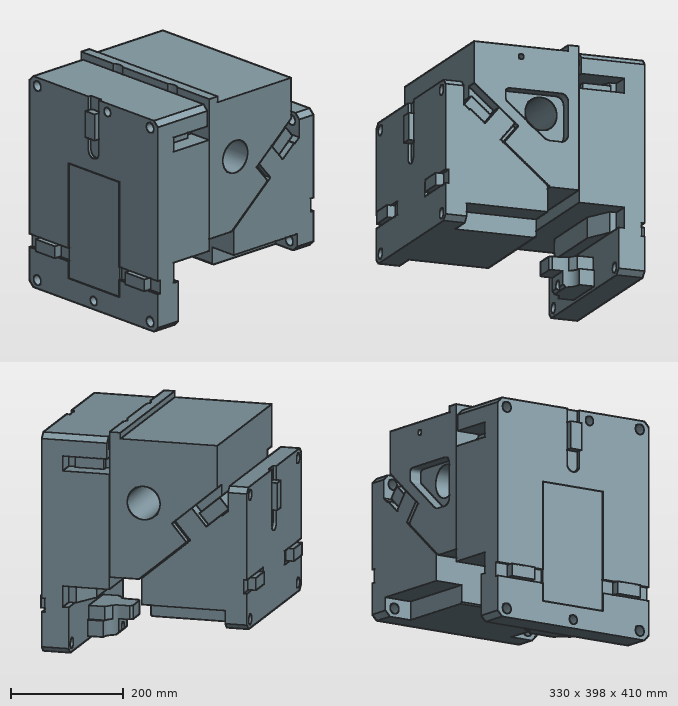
import cadquery as cq
import math

WIDTH = 330.0
HALF_WIDTH = WIDTH / 2
HEIGHT = 410.0
KEY_PROTRUSION = 9.0
REAR_FACE_Y = 380.0
CORNER_CHAMFER = 10.0

FRONT_TOP = 399.0
PLATE_DEPTH = 50.0
LIP_DEPTH = 121.0
BLOCK_DEPTH = 125.0
BLOCK_BOTTOM = 123.0
SLOT_BOTTOM = 333.0
SLOT_TOP = 360.0
RECESS_Y = 39.0
RECESS_BOTTOM = 85.0
CORE_SHOULDER_Y = 52.0
CORE_END_Y = 75.0
CORE_HALF_WIDTH = 127.0
CORE_END_HALF_WIDTH = 78.0
PANEL_HALF_WIDTH = 65.0
PANEL_BOTTOM = 41.0
PANEL_TOP = 258.5
PANEL_DEPTH = 2.0

LUG_TOP = 60.5
LUG_STEP = 35.5
LUG_BOTTOM = 6.0
LUG_HALF_WIDTH = 43.5
LUG_BASE_Y = 80.0
LUG_SLOPE_Y = 90.0
LUG_FLANK = 25.0
LUG_FLANK_Y = 103.5
LUG_HOLLOW_RADIUS = 24.5
LUG_TIP_CHAMFER = 5.0
PILLAR_END_Y = 100.0
PILLAR_CHAMFER = 5.0

BOLT_DIAMETER = 19.0
BOLT_X = 145.0
BOLT_INSET_Z = 16.0
CENTRE_BOLT_DIAMETER = 17.0
TOP_CENTRE_BOLT_X = 35.3

KEYWAY_DEPTH = 6.0
KEY_LENGTH = 49.5
SIDE_KEY_X = 115.2
SIDE_KEY_HEIGHT = 22.5
SIDE_KEYWAY_HEIGHT = 25.0
FRONT_SIDE_KEY_Z = 85.5
REAR_SIDE_KEY_Z = 145.5
TOP_KEY_WIDTH = 23.5
TOP_KEYWAY_WIDTH = 27.0
TOP_KEY_DROP = 49.5
TOP_KEYWAY_LENGTH = 114.0

MIDDLE_FRONT_Y = 126.0
MIDDLE_BACK_Y = 325.5
MIDDLE_BOTTOM = 145.5
STEP_BACK_Y = 146.0
TONGUE_TOP = 353.0
TONGUE_NECK_Y = 105.0
TONGUE_NECK_HALF_WIDTH = 119.7
TONGUE_HEAD_HALF_WIDTH = 132.0
BORE_X = 70.0
BORE_Y = 109.0
BORE_RADIUS = 21.0
BORE_FLOOR = 340.5
HOLE_Y = 189.0
HOLE_Z = 285.0
HOLE_DIAMETER = 60.5
PIN_HOLE_Y = 235.8
PIN_HOLE_Z = 379.5
PIN_HOLE_DIAMETER = 10.0
PIN_HOLE_DEPTH = 20.5
POCKET_DEPTH = 23.0
POCKET_FRONT_Y = 146.0
POCKET_BACK_Y = 265.3
POCKET_TOP = 320.0
POCKET_BOTTOM = 231.0
POCKET_CORNER_Y = 187.0
POCKET_CORNER_Z = 297.0
POCKET_FRONT_RADIUS = 14.8
POCKET_SLOPE_RADIUS = 19.5
POCKET_BACK_RADIUS = 8.0

SLOPE = math.radians(40)
RIDGE_Y = 278.0
RIDGE_Z = 282.0
RIDGE_LENGTH = 40.0
GROOVE_LENGTH = 48.0
GROOVE_DEPTH = 43.0
MIDDLE_HOOK_DEPTH = 42.0
REAR_SLOT_DEPTH = 42.0
NECK_DEPTH = 15.5
REAR_TONGUE_LENGTH = 48.8
REAR_NECK_HALF_WIDTH = 139.0
REAR_HEAD_HALF_WIDTH = 151.0
RELIEF_START = 37.0
RELIEF_DEPTH = 2.0

REAR_TOP = 324.7
REAR_BOTTOM = 66.0
REAR_LIP_Y = 345.2
REAR_FRONT_Y = 185.5
REAR_EDGE_CHAMFER = 3.0
REAR_FOOT_Y = 340.0
SIDE_CUT_TOP = 99.5
SIDE_CUT_DEPTH = 55.0


def box(x0, x1, y0, y1, z0, z1):
    return cq.Workplane("XY").box(x1 - x0, y1 - y0, z1 - z0, centered=False).translate((x0, y0, z0))


def across(points, half_width):
    """A (y, z) outline extruded to both sides of the centre plane."""
    return cq.Workplane("YZ").polyline(points).close().extrude(half_width, both=True)


def bore_y(x, z, diameter, y0, y1):
    return cq.Workplane("XZ", origin=(x, y0, z)).circle(diameter / 2).extrude(y0 - y1)


def on_slope(along, out):
    """(y, z) of a point measured down the slope and outwards from the ridge corner."""
    y = RIDGE_Y - along * math.cos(SLOPE) - out * math.sin(SLOPE)
    z = RIDGE_Z - along * math.sin(SLOPE) + out * math.cos(SLOPE)
    return y, z


def slope_at_y(y, out):
    """Point with the given y on the line parallel to the slope."""
    along = (RIDGE_Y - y - out * math.sin(SLOPE)) / math.cos(SLOPE)
    return on_slope(along, out)


def slope_at_z(z, out):
    """Point with the given z on the line parallel to the slope."""
    along = (RIDGE_Z - z + out * math.cos(SLOPE)) / math.sin(SLOPE)
    return on_slope(along, out)


def chamfer_corners(body, bottom, top):
    """Trim the four outer corners seen along Y."""
    envelope = box(-HALF_WIDTH, HALF_WIDTH, 0, REAR_FACE_Y, bottom, top)
    return body.intersect(envelope.edges("|Y").chamfer(CORNER_CHAMFER))


def add_keys(body, face_y, inward, top, side_key_z):
    """Cut the keyways into an outer face and seat the three keys; inward is +1 or -1 along Y."""
    bottom_y = face_y + inward * KEYWAY_DEPTH
    outer_y = face_y - inward * KEY_PROTRUSION
    cut_y = sorted((face_y, bottom_y))
    key_y = sorted((outer_y, bottom_y))

    half = SIDE_KEYWAY_HEIGHT / 2
    half_key = SIDE_KEY_HEIGHT / 2
    for side in (-1, 1):
        way_x = sorted((side * PANEL_HALF_WIDTH, side * HALF_WIDTH))
        key_x = side * SIDE_KEY_X
        body = body.cut(box(*way_x, *cut_y, side_key_z - half, side_key_z + half))
        body = body.union(box(key_x - KEY_LENGTH / 2, key_x + KEY_LENGTH / 2, *key_y,
                              side_key_z - half_key, side_key_z + half_key))

    radius = TOP_KEYWAY_WIDTH / 2
    round_z = top - TOP_KEYWAY_LENGTH + radius
    key_z = top - TOP_KEY_DROP
    body = body.cut(box(-radius, radius, *cut_y, round_z, top))
    body = body.cut(bore_y(0, round_z, TOP_KEYWAY_WIDTH, *cut_y))
    return body.union(box(-TOP_KEY_WIDTH / 2, TOP_KEY_WIDTH / 2, *key_y,
                          key_z - KEY_LENGTH / 2, key_z + KEY_LENGTH / 2))


def make_front_tongue():
    neck = box(-TONGUE_NECK_HALF_WIDTH, TONGUE_NECK_HALF_WIDTH,
               TONGUE_NECK_Y, MIDDLE_FRONT_Y, SLOT_BOTTOM, TONGUE_TOP)
    head = box(-TONGUE_HEAD_HALF_WIDTH, TONGUE_HEAD_HALF_WIDTH,
               CORE_SHOULDER_Y, TONGUE_NECK_Y, SLOT_BOTTOM, TONGUE_TOP)
    return neck.union(head)


def make_core():
    """Tapered core that joins the plate, block and lip between the side recesses."""
    return (
        cq.Workplane("XY", origin=(0, 0, RECESS_BOTTOM))
        .polyline([
            (-CORE_HALF_WIDTH, 0),
            (-CORE_HALF_WIDTH, CORE_SHOULDER_Y),
            (-CORE_END_HALF_WIDTH, CORE_END_Y),
            (CORE_END_HALF_WIDTH, CORE_END_Y),
            (CORE_HALF_WIDTH, CORE_SHOULDER_Y),
            (CORE_HALF_WIDTH, 0),
        ])
        .close()
        .extrude(SLOT_TOP - RECESS_BOTTOM)
    )


def hollow_half_width(y):
    """Half width of the lug where its concave flank passes the given y."""
    return LUG_FLANK + LUG_HOLLOW_RADIUS - math.sqrt(LUG_HOLLOW_RADIUS**2 - (LUG_FLANK_Y - y) ** 2)


def make_lug():
    """Two-level lug: a hooked upper arm on a shorter pillar, both with the same hollow flanks."""
    pillar_base_y = LUG_FLANK_Y - LUG_HOLLOW_RADIUS
    pillar_base = LUG_FLANK + LUG_HOLLOW_RADIUS
    arm_half = (
        cq.Workplane("XY", origin=(0, 0, LUG_STEP))
        .moveTo(0, PLATE_DEPTH)
        .lineTo(LUG_HALF_WIDTH, PLATE_DEPTH)
        .lineTo(LUG_HALF_WIDTH, LUG_BASE_Y)
        .lineTo(hollow_half_width(LUG_SLOPE_Y), LUG_SLOPE_Y)
        .radiusArc((LUG_FLANK, LUG_FLANK_Y), LUG_HOLLOW_RADIUS)
        .lineTo(LUG_FLANK, BLOCK_DEPTH - LUG_TIP_CHAMFER)
        .lineTo(LUG_FLANK - LUG_TIP_CHAMFER, BLOCK_DEPTH)
        .lineTo(0, BLOCK_DEPTH)
        .close()
        .extrude(LUG_TOP - LUG_STEP)
    )
    pillar_half = (
        cq.Workplane("XY", origin=(0, 0, LUG_BOTTOM))
        .moveTo(0, PLATE_DEPTH)
        .lineTo(pillar_base, PLATE_DEPTH)
        .lineTo(pillar_base, pillar_base_y)
        .radiusArc((hollow_half_width(PILLAR_END_Y), PILLAR_END_Y), LUG_HOLLOW_RADIUS)
        .lineTo(0, PILLAR_END_Y)
        .close()
        .extrude(LUG_STEP - LUG_BOTTOM)
        .faces(">Y").edges("<Z").chamfer(PILLAR_CHAMFER)
    )
    half = arm_half.union(pillar_half)
    return half.union(half.mirror("YZ"))


def make_front():
    outline = [
        (0, 0),
        (PLATE_DEPTH, 0),
        (PLATE_DEPTH, RECESS_BOTTOM),
        (RECESS_Y, RECESS_BOTTOM),
        (RECESS_Y, BLOCK_BOTTOM),
        (BLOCK_DEPTH, BLOCK_BOTTOM),
        (BLOCK_DEPTH, SLOT_BOTTOM),
        (RECESS_Y, SLOT_BOTTOM),
        (RECESS_Y, SLOT_TOP),
        (LIP_DEPTH, SLOT_TOP),
        (LIP_DEPTH, FRONT_TOP),
        (0, FRONT_TOP),
    ]
    body = across(outline, HALF_WIDTH).union(make_core())
    body = chamfer_corners(body, 0, FRONT_TOP)
    body = body.cut(make_front_tongue())
    body = body.union(make_lug())
    body = body.cut(box(-PANEL_HALF_WIDTH, PANEL_HALF_WIDTH, 0, PANEL_DEPTH, PANEL_BOTTOM, PANEL_TOP))

    top_z = FRONT_TOP - BOLT_INSET_Z
    for x in (-BOLT_X, BOLT_X):
        for z in (BOLT_INSET_Z, top_z):
            body = body.cut(bore_y(x, z, BOLT_DIAMETER, 0, BLOCK_DEPTH))
    for x, z in ((0, BOLT_INSET_Z), (TOP_CENTRE_BOLT_X, top_z)):
        body = body.cut(bore_y(x, z, CENTRE_BOLT_DIAMETER, 0, BLOCK_DEPTH))
    return add_keys(body, 0, 1, FRONT_TOP, FRONT_SIDE_KEY_Z)


def make_rear_tongue():
    """T-shaped tongue under the slope that fills the upper slot of the rear body."""
    neck = across([
        on_slope(0, 0),
        on_slope(0, -NECK_DEPTH),
        slope_at_y(MIDDLE_BACK_Y, -NECK_DEPTH),
        slope_at_y(MIDDLE_BACK_Y, 0),
    ], REAR_NECK_HALF_WIDTH)
    head = across([
        on_slope(0, -NECK_DEPTH),
        on_slope(0, -REAR_SLOT_DEPTH),
        on_slope(-REAR_TONGUE_LENGTH, -REAR_SLOT_DEPTH),
        on_slope(-REAR_TONGUE_LENGTH, -NECK_DEPTH),
    ], REAR_HEAD_HALF_WIDTH)
    return neck.union(head)


def make_groove_rib():
    """Rib that closes the gap below the ridge, except at the two ends."""
    return across([
        on_slope(RIDGE_LENGTH, 0),
        on_slope(GROOVE_LENGTH, 0),
        on_slope(GROOVE_LENGTH, -MIDDLE_HOOK_DEPTH),
        on_slope(RIDGE_LENGTH, -MIDDLE_HOOK_DEPTH),
    ], REAR_HEAD_HALF_WIDTH)


def make_side_pocket():
    pocket = (
        cq.Workplane("YZ", origin=(-HALF_WIDTH, 0, 0))
        .polyline([
            (POCKET_FRONT_Y, POCKET_TOP),
            (POCKET_BACK_Y, POCKET_TOP),
            (POCKET_BACK_Y, POCKET_CORNER_Z),
            (POCKET_CORNER_Y, POCKET_BOTTOM),
            (POCKET_FRONT_Y, POCKET_BOTTOM),
        ])
        .close()
        .extrude(POCKET_DEPTH)
    )
    corners = (
        (POCKET_FRONT_Y, POCKET_TOP, POCKET_FRONT_RADIUS),
        (POCKET_FRONT_Y, POCKET_BOTTOM, POCKET_FRONT_RADIUS),
        (POCKET_CORNER_Y, POCKET_BOTTOM, POCKET_SLOPE_RADIUS),
        (POCKET_BACK_Y, POCKET_CORNER_Z, POCKET_BACK_RADIUS),
        (POCKET_BACK_Y, POCKET_TOP, POCKET_BACK_RADIUS),
    )
    for y, z, radius in corners:
        corner = cq.selectors.NearestToPointSelector((POCKET_DEPTH / 2 - HALF_WIDTH, y, z))
        pocket = pocket.edges("|X").edges(corner).fillet(radius)
    return pocket


def make_middle():
    outline = [
        (MIDDLE_FRONT_Y, MIDDLE_BOTTOM),
        slope_at_z(MIDDLE_BOTTOM, -MIDDLE_HOOK_DEPTH),
        on_slope(GROOVE_LENGTH, -MIDDLE_HOOK_DEPTH),
        on_slope(GROOVE_LENGTH, 0),
        slope_at_y(MIDDLE_BACK_Y, 0),
        (MIDDLE_BACK_Y, FRONT_TOP),
        (STEP_BACK_Y, FRONT_TOP),
        (STEP_BACK_Y, HEIGHT),
        (MIDDLE_FRONT_Y, HEIGHT),
    ]
    body = across(outline, HALF_WIDTH)
    body = body.union(make_front_tongue()).union(make_rear_tongue()).union(make_groove_rib())

    for x in (-BORE_X, BORE_X):
        bore = cq.Workplane("XY", origin=(x, BORE_Y, BORE_FLOOR)).circle(BORE_RADIUS)
        body = body.cut(bore.extrude(HEIGHT - BORE_FLOOR))

    body = body.cut(make_side_pocket())
    hole = cq.Workplane("YZ").center(HOLE_Y, HOLE_Z).circle(HOLE_DIAMETER / 2)
    pin_hole = (
        cq.Workplane("YZ", origin=(-HALF_WIDTH, 0, 0))
        .center(PIN_HOLE_Y, PIN_HOLE_Z)
        .circle(PIN_HOLE_DIAMETER / 2)
    )
    return body.cut(hole.extrude(HALF_WIDTH, both=True)).cut(pin_hole.extrude(PIN_HOLE_DEPTH))


def make_rear():
    relief_out = -REAR_SLOT_DEPTH - RELIEF_DEPTH
    outline = [
        (REAR_FACE_Y, REAR_BOTTOM),
        (REAR_FACE_Y, REAR_TOP),
        (REAR_LIP_Y, REAR_TOP),
        slope_at_y(REAR_LIP_Y, relief_out),
        on_slope(-RELIEF_START, relief_out),
        on_slope(-RELIEF_START, -REAR_SLOT_DEPTH),
        on_slope(0, -REAR_SLOT_DEPTH),
        on_slope(0, 0),
        on_slope(RIDGE_LENGTH, 0),
        on_slope(RIDGE_LENGTH, -GROOVE_DEPTH),
        slope_at_y(REAR_FRONT_Y, -GROOVE_DEPTH),
        (REAR_FRONT_Y, REAR_BOTTOM + REAR_EDGE_CHAMFER),
        (REAR_FRONT_Y + REAR_EDGE_CHAMFER, REAR_BOTTOM),
    ]
    body = chamfer_corners(across(outline, HALF_WIDTH), REAR_BOTTOM, REAR_TOP)

    for side in (-1, 1):
        cut_x = sorted((side * HALF_WIDTH, side * (HALF_WIDTH - SIDE_CUT_DEPTH)))
        body = body.cut(box(*cut_x, REAR_FRONT_Y, REAR_FOOT_Y, REAR_BOTTOM, SIDE_CUT_TOP))
        bolt_x = side * BOLT_X
        for bolt_z in (REAR_BOTTOM + BOLT_INSET_Z, REAR_TOP - BOLT_INSET_Z):
            body = body.cut(bore_y(bolt_x, bolt_z, BOLT_DIAMETER, REAR_FOOT_Y, REAR_FACE_Y))
    return add_keys(body, REAR_FACE_Y, -1, REAR_TOP, REAR_SIDE_KEY_Z)


front = make_front().solids()
middle = make_middle().solids()
rear = make_rear().solids()

result = cq.Compound.makeCompound([front.val(), middle.val(), rear.val()])